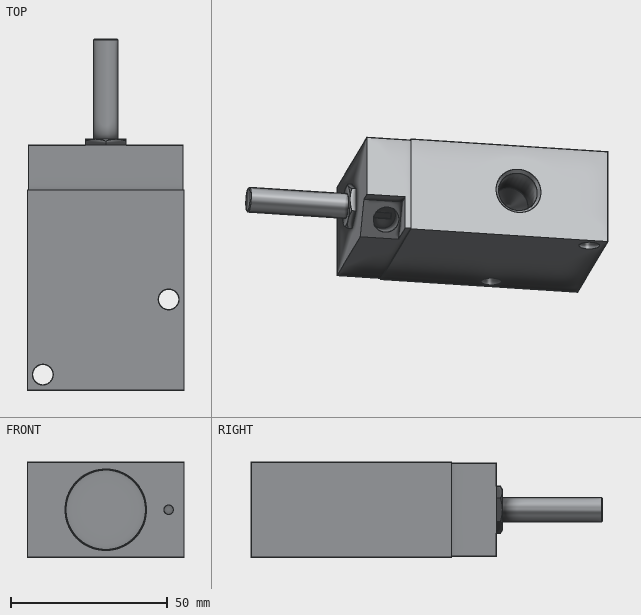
import cadquery as cq
import math


total_length = 112.0
body_length = 64.0
cap_end = 78.2
nut_end = 80.1

body_width = 50.0
body_height = 30.4
cap_inset = 0.28
cap_width = body_width - 2 * cap_inset
cap_height = body_height - 2 * cap_inset

stem_diameter = 8.0
stem_chamfer = 0.3
nut_across_flats = 13.0
nut_across_corners = nut_across_flats / math.cos(math.radians(30))
nut_chamfer_angle = 30.0

port_y = 29.0
port_mouth_diameter = 14.6
port_bore_diameter = 12.5
port_end_diameter = 11.9
port_depth = 14.6
drill_point_angle = 118.0

mount_diameter = 6.5
mount_x = 20.0
mount_front_y = 5.0
mount_rear_y = port_y

recess_mouth_diameter = 26.0
recess_floor_diameter = 25.3
recess_depth = 0.3
breather_diameter = 3.0
breather_x = 20.0
breather_depth = 1.0

notch_start_y = 65.7
notch_top_z = -4.4
notch_ledge = 5.0
slope_angle = 30.0
socket_y = 70.3
socket_z = -9.6
socket_diameter = 8.2
socket_depth = 6.7
slot_width = 5.6
slot_height = 1.9
slot_depth = 1.0


def block(width, height, start_y, end_y):
    """Box centred on X and Z between two Y positions."""
    length = end_y - start_y
    return cq.Workplane("XY").box(width, length, height).translate((0, start_y + length / 2, 0))


def revolved_about_y(profile):
    """Solid turned about the Y axis from (radius, y) points."""
    return cq.Workplane("XY").polyline(profile).close().revolve(360, (0, 0, 0), (0, 1, 0))


def make_stem():
    radius = stem_diameter / 2
    return revolved_about_y([
        (0, cap_end),
        (radius, cap_end),
        (radius, total_length - stem_chamfer),
        (radius - stem_chamfer, total_length),
        (0, total_length),
    ])


def make_nut():
    """Hex nut with corners up and down, its rear corners turned off by a cone."""
    corner_radius = nut_across_corners / 2
    end_radius = nut_across_flats / 2
    bevel_length = (corner_radius - end_radius) * math.tan(math.radians(nut_chamfer_angle))
    hexagon = (
        cq.Workplane("XY")
        .polygon(6, nut_across_corners)
        .extrude(nut_end - cap_end)
        .rotate((0, 0, 0), (0, 0, 1), 90)
        .rotate((0, 0, 0), (1, 0, 0), -90)
        .translate((0, cap_end, 0))
    )
    envelope = revolved_about_y([
        (0, cap_end),
        (corner_radius, cap_end),
        (corner_radius, nut_end - bevel_length),
        (end_radius, nut_end),
        (0, nut_end),
    ])
    return hexagon.intersect(envelope)


def mounting_holes():
    places = [(-mount_x, mount_front_y), (mount_x, mount_rear_y)]
    return (
        cq.Workplane("XY", origin=(0, 0, -body_height / 2))
        .pushPoints(places)
        .circle(mount_diameter / 2)
        .extrude(body_height)
    )


def side_port():
    """Countersunk, tapered bore with a drill point, entering along +X."""
    side_x = -body_width / 2
    mouth_radius = port_mouth_diameter / 2
    bore_radius = port_bore_diameter / 2
    end_radius = port_end_diameter / 2
    countersink = mouth_radius - bore_radius
    point_length = end_radius / math.tan(math.radians(drill_point_angle / 2))
    profile = [
        (0, 0),
        (0, mouth_radius),
        (countersink, bore_radius),
        (port_depth, end_radius),
        (port_depth + point_length, 0),
    ]
    port = cq.Workplane("XY").polyline(profile).close().revolve(360, (0, 0, 0), (1, 0, 0))
    return port.translate((side_x, port_y, 0))


def front_recess():
    return revolved_about_y([
        (0, 0),
        (recess_mouth_diameter / 2, 0),
        (recess_floor_diameter / 2, recess_depth),
        (0, recess_depth),
    ])


def breather_hole():
    hole = cq.Workplane("XZ").circle(breather_diameter / 2).extrude(-breather_depth)
    return hole.translate((breather_x, 0, 0))


def cap_notch():
    """Flat-roofed notch with a sloped inner wall, open at the side, bottom and rear of the cap."""
    left = -cap_width / 2
    bottom = -cap_height / 2
    run = (notch_top_z - bottom) * math.tan(math.radians(slope_angle))
    return (
        cq.Workplane("XZ", origin=(0, notch_start_y, 0))
        .polyline([
            (left, notch_top_z),
            (left + notch_ledge, notch_top_z),
            (left + notch_ledge + run, bottom),
            (left, bottom),
        ])
        .close()
        .extrude(notch_start_y - cap_end)
    )


def connector_socket():
    """Round blind socket square to the notch slope, with a slot in its floor."""
    slope = math.radians(slope_angle)
    inward = cq.Vector(math.cos(slope), 0, math.sin(slope))
    slope_top_x = -cap_width / 2 + notch_ledge
    mouth_x = slope_top_x + (notch_top_z - socket_z) * math.tan(slope)
    mouth = cq.Vector(mouth_x, socket_y, socket_z)
    plane = cq.Plane(origin=mouth.toTuple(), xDir=(0, 1, 0), normal=inward.toTuple())
    bore = cq.Workplane(plane).circle(socket_diameter / 2).extrude(socket_depth)
    slot = cq.Workplane(plane).rect(slot_width, slot_height).extrude(socket_depth + slot_depth)
    return bore.union(slot)


body = block(body_width, body_height, 0, body_length)
cap = block(cap_width, cap_height, body_length, cap_end)

result = (
    body.union(cap)
    .union(make_nut())
    .union(make_stem())
    .cut(mounting_holes())
    .cut(side_port())
    .cut(front_recess())
    .cut(breather_hole())
    .cut(cap_notch())
    .cut(connector_socket())
)